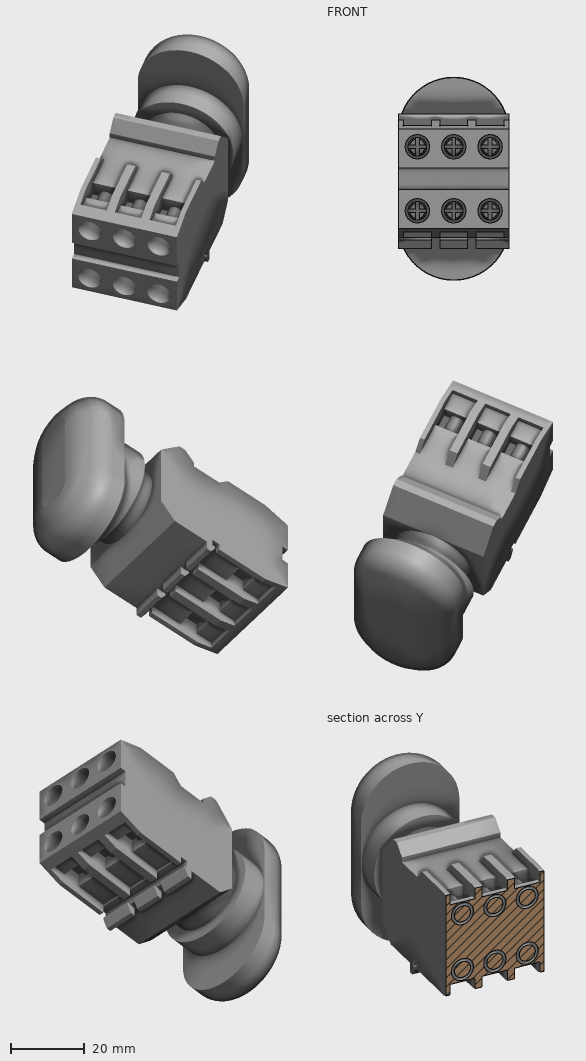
import cadquery as cq


width = 30.0
length = 70.0
head_height = 55.0
overlap = 0.7

neck_start = 44.5
collar_start = 50.05
head_start = 57.4
dome_start = 61.95
dome_ridge = 67.35

head_radius = width / 2
lobe_offset = head_height / 2 - head_radius
crown_radius = 4.9
ridge_radius = 11.75
lower_arc_mid = (13.6, 65.8)
upper_arc_mid = (8.4, 69.2)

collar_radius = 14.8
neck_radius = 11.1

block_half_height = 15.95
front_half_height = 13.45
front_taper_length = 7.9
front_groove_half = 2.9
front_groove_depth = 1.95
rail_seat_z = 12.95
rail_seat_front = 24.1
ridge_lip_y = 33.0
ridge_lip_z = 14.5
ridge_top_z = 17.6
ridge_top_front = ridge_lip_y + ridge_top_z - ridge_lip_z

hook_back = 28.35
hook_front = 26.45
hook_barb_front = 25.55
hook_barb_z = -16.65
hook_tip_z = -19.0
hook_tip_front = 26.95
hook_slot_front = rail_seat_front
hook_slot_top = -13.65

pole_pitch = 9.9
pole_positions = (-pole_pitch, 0, pole_pitch)
terminal_z = 8.7
rib_width = 2.3
pocket_width = pole_pitch - rib_width
pocket_front = 3.2
ledge_back = 8.5
chamber_back = 14.2
ledge_z = 12.45
terminal_hole_radius = 3.3
terminal_hole_depth = 7.7

screw_head_radius = 2.5
screw_head_height = 1.4
screw_shank_radius = 2.0
screw_chamfer = 0.4
cross_slot_width = 1.05
cross_slot_depth = 0.7


def box(x_center, x_size, y_start, y_end, z_start, z_end):
    """Box centred on x_center, spanning the given Y and Z ranges."""
    return (
        cq.Workplane("XY")
        .box(x_size, y_end - y_start, z_end - z_start, centered=(True, False, False))
        .translate((x_center, y_start, z_start))
    )


def rod(x, z, radius, y_start, y_end):
    """Cylinder along Y."""
    return (
        cq.Workplane("XZ", origin=(x, y_start, z))
        .circle(radius)
        .extrude(-(y_end - y_start))
    )


def head_half_profile():
    """Half section of the head in the XY plane, on the +X side of its axis."""
    return (
        cq.Workplane("XY")
        .moveTo(0, head_start)
        .lineTo(head_radius, head_start)
        .lineTo(head_radius, dome_start)
        .threePointArc(lower_arc_mid, (ridge_radius, dome_ridge))
        .threePointArc(upper_arc_mid, (crown_radius, length))
        .lineTo(0, length)
        .close()
    )


def make_head():
    """Straight middle section with a revolved lobe at each end."""
    lobe = head_half_profile().revolve(360, (0, 0), (0, 1))
    half_middle = head_half_profile().extrude(lobe_offset, both=True)
    head = half_middle.union(half_middle.mirror("YZ"))
    for z in (-lobe_offset, lobe_offset):
        head = head.union(lobe.translate((0, 0, z)))
    return head


def make_stem():
    neck = rod(0, 0, neck_radius, neck_start - overlap, collar_start + overlap)
    collar = rod(0, 0, collar_radius, collar_start, head_start + overlap)
    return neck.union(collar)


def make_block():
    """Contact block with its rail seat on top and its slotted hook underneath."""
    outline = [
        (0, front_groove_half),
        (0, front_half_height),
        (front_taper_length, block_half_height),
        (rail_seat_front - (block_half_height - rail_seat_z), block_half_height),
        (rail_seat_front, rail_seat_z),
        (ridge_lip_y, rail_seat_z),
        (ridge_lip_y, ridge_lip_z),
        (ridge_top_front, ridge_top_z),
        (neck_start - (ridge_top_z - neck_radius), ridge_top_z),
        (neck_start, neck_radius),
        (neck_start, -neck_radius),
        (neck_start - (block_half_height - neck_radius), -block_half_height),
        (hook_back, -block_half_height),
        (hook_back, hook_tip_z),
        (hook_tip_front, hook_tip_z),
        (hook_barb_front, hook_barb_z),
        (hook_barb_front, -block_half_height),
        (hook_front, -block_half_height),
        (hook_front, hook_slot_top),
        (hook_slot_front, hook_slot_top),
        (hook_slot_front, -block_half_height),
        (front_taper_length, -block_half_height),
        (0, -front_half_height),
        (0, -front_groove_half),
        (front_groove_depth, -front_groove_half),
        (front_groove_depth, front_groove_half),
    ]
    return cq.Workplane("YZ").polyline(outline).close().extrude(width / 2, both=True)


def hook_gap(x):
    """Cut that separates neighbouring hooks below the block."""
    return box(x, rib_width, hook_barb_front, hook_back, hook_tip_z, -block_half_height)


def terminal_cut(x):
    """Stepped pocket and front hole of one upper terminal."""
    outer = block_half_height
    seat = box(x, pocket_width, chamber_back, rail_seat_front, rail_seat_z, outer)
    ledge = box(x, pocket_width, pocket_front, ledge_back, ledge_z, outer)
    chamber = box(x, pocket_width, ledge_back, chamber_back, terminal_z, outer)
    hole = rod(x, terminal_z, terminal_hole_radius, 0, terminal_hole_depth)
    return seat.union(ledge).union(chamber).union(hole)


def terminal_screw(x):
    """Chamfered screw head with a cross slot, on a shank that crosses the chamber."""
    head_front = terminal_hole_depth - screw_head_height
    slot_end = head_front + cross_slot_depth
    slot_length = 2 * screw_head_radius
    head = rod(x, terminal_z, screw_head_radius, head_front, terminal_hole_depth + overlap)
    head = head.faces("<Y").chamfer(screw_chamfer)
    for size_x, size_z in ((slot_length, cross_slot_width), (cross_slot_width, slot_length)):
        bottom = terminal_z - size_z / 2
        head = head.cut(box(x, size_x, head_front, slot_end, bottom, bottom + size_z))
    shank = rod(x, terminal_z, screw_shank_radius, terminal_hole_depth, chamber_back + overlap)
    return head.union(shank)


block = make_block()
for gap_x in (-pole_pitch / 2, pole_pitch / 2):
    block = block.cut(hook_gap(gap_x))

for pole_x in pole_positions:
    cut = terminal_cut(pole_x)
    screw = terminal_screw(pole_x)
    block = block.cut(cut).cut(cut.mirror("XY"))
    block = block.union(screw).union(screw.mirror("XY"))

result = block.union(make_stem()).union(make_head())